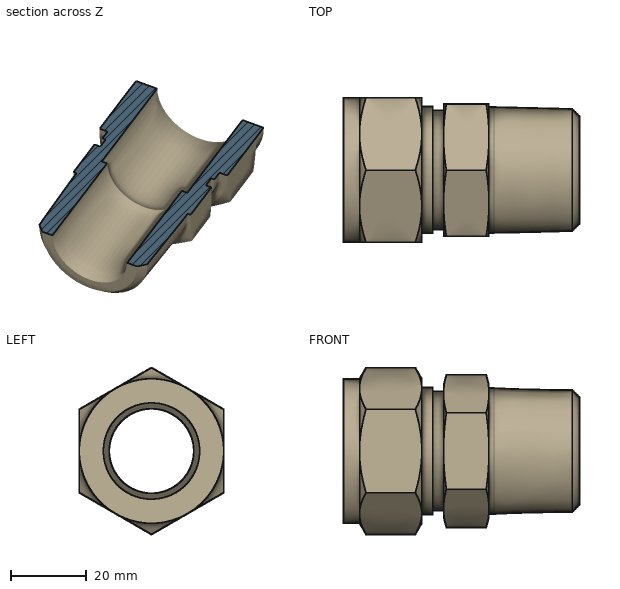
import cadquery as cq
import math


overall_length = 62.23
nut_hex_start = 4.25
nut_hex_end = 20.65
collar_end = 23.55
body_hex_start = 26.4
body_hex_end = 38.35
thread_start = 39.55
tip_chamfer_length = 2.0

nut_across_flats = 38.1
nut_chamfer_angle = 30.0
body_across_flats = 34.925
body_chamfer_angle = 15.0

collar_diameter = 33.5
neck_diameter = 31.6
thread_base_diameter = 33.25
thread_tip_diameter = 32.25
end_face_diameter = 28.3

tube_bore_diameter = 25.4
tube_bore_depth = 31.2
through_bore_diameter = 22.225


def cylinder(start, end, diameter):
    """Solid cylinder on the X axis."""
    return cq.Workplane("YZ", origin=(start, 0, 0)).circle(diameter / 2).extrude(end - start)


def revolve_profile(points):
    """Revolve an (x, radius) outline about the X axis."""
    return cq.Workplane("XY").polyline(points).close().revolve(360, (0, 0, 0), (1, 0, 0))


def chamfered_hexagon(start, end, across_flats, chamfer_angle):
    """Hexagonal prism with corners up and down, and conical corner chamfers at both ends."""
    flat_radius = across_flats / 2
    corner_radius = flat_radius / math.cos(math.radians(30))
    corners = [
        (corner_radius * math.sin(math.radians(angle)), corner_radius * math.cos(math.radians(angle)))
        for angle in range(0, 360, 60)
    ]
    prism = cq.Workplane("YZ", origin=(start, 0, 0)).polyline(corners).close().extrude(end - start)

    chamfer_length = (corner_radius - flat_radius) * math.tan(math.radians(chamfer_angle))
    envelope = revolve_profile([
        (start, 0),
        (start, flat_radius),
        (start + chamfer_length, corner_radius),
        (end - chamfer_length, corner_radius),
        (end, flat_radius),
        (end, 0),
    ])
    return prism.intersect(envelope)


def make_nut():
    """Round front collar followed by the large hexagon."""
    front_collar = cylinder(0, nut_hex_start, nut_across_flats)
    hexagon = chamfered_hexagon(nut_hex_start, nut_hex_end, nut_across_flats, nut_chamfer_angle)
    return front_collar.union(hexagon)


def make_body():
    """Collar and neck behind the nut, followed by the smaller hexagon."""
    collar = cylinder(nut_hex_end, collar_end, collar_diameter)
    neck = cylinder(collar_end, body_hex_start, neck_diameter)
    hexagon = chamfered_hexagon(body_hex_start, body_hex_end, body_across_flats, body_chamfer_angle)
    return collar.union(neck).union(hexagon)


def make_male_end():
    """Short straight land, taper, and chamfered tip."""
    taper_end = overall_length - tip_chamfer_length
    base_radius = thread_base_diameter / 2
    return revolve_profile([
        (body_hex_end, 0),
        (body_hex_end, base_radius),
        (thread_start, base_radius),
        (taper_end, thread_tip_diameter / 2),
        (overall_length, end_face_diameter / 2),
        (overall_length, 0),
    ])


def make_bore():
    """Through bore, widened from the nut face to take the tube."""
    through_bore = cylinder(0, overall_length, through_bore_diameter)
    tube_bore = cylinder(0, tube_bore_depth, tube_bore_diameter)
    return through_bore.union(tube_bore)


result = make_nut().union(make_body()).union(make_male_end()).cut(make_bore())